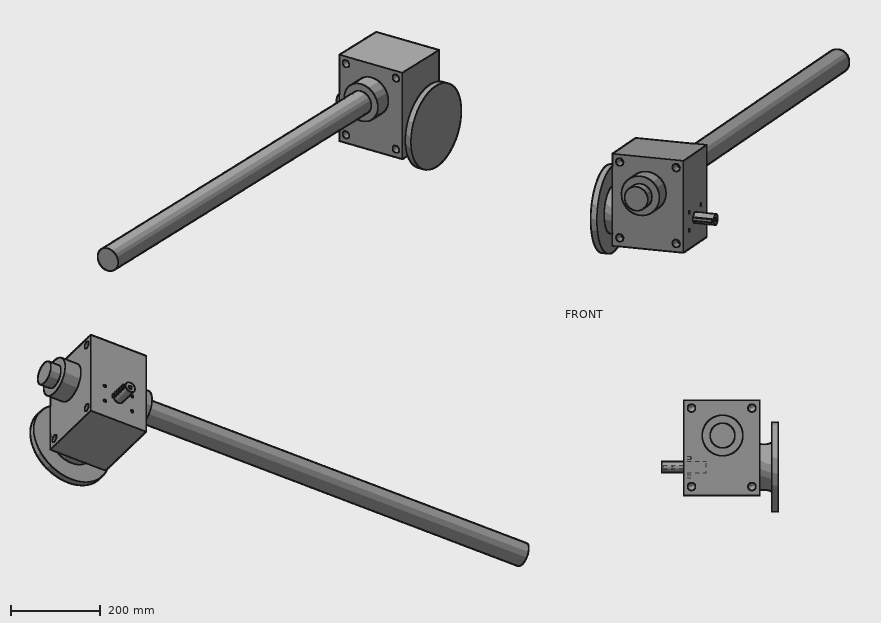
import cadquery as cq
import math


flange_diameter = 200.0
flange_thickness = 15.0
hub_foot_diameter = 104.0
hub_length = 26.0
hub_waist_diameter = 102.0
hub_plate_diameter = 109.0

overall_height = 248.0
housing_length = 170.0
housing_width = 145.0
housing_top = overall_height - flange_diameter / 2
housing_height = 212.0
collar_diameter = 90.0
collar_length = 41.0

corner_hole_diameter = 18.0
corner_hole_depth = 31.0
corner_spacing_x = 134.0
corner_spacing_z = 175.0
corner_hole_top_margin = 18.0

cover_hole_diameter = 6.7
cover_hole_depth = 15.0
cover_circle_radius = 41.0
cover_hole_angles = (30, 150, 210, 330)

drill_point_angle = 118

screw_diameter = 55.0
screw_length = 1255
screw_back_overhang = 26.0
screw_height = 70.0
screw_offset = 1.9

shaft_diameter = 25
shaft_overhang = 49.0
shaft_insertion = 49.0
centre_hole_diameter = 8.4
centre_hole_depth = 23.0
key_width = 8.0
key_projection = 4.0
key_end_gap = 4.0

housing_left = -housing_length / 2
housing_right = housing_length / 2
housing_middle_z = housing_top - housing_height / 2
collar_end = housing_width / 2 + collar_length
screw_back = collar_end + screw_back_overhang
shaft_end = housing_left - shaft_overhang


def cylinder(start, direction, diameter, length):
    """Solid cylinder from a start point along a direction."""
    solid = cq.Solid.makeCylinder(diameter / 2, length, cq.Vector(start), cq.Vector(direction))
    return cq.Workplane(solid)


def drilled_hole(mouth, direction, diameter, depth):
    """Cutter for a blind hole with a conical drill point."""
    point_length = diameter / 2 / math.tan(math.radians(drill_point_angle / 2))
    tip_base = cq.Vector(mouth) + cq.Vector(direction) * depth
    tip = cq.Solid.makeCone(diameter / 2, 0, point_length, tip_base, cq.Vector(direction))
    return cylinder(mouth, direction, diameter, depth).union(cq.Workplane(tip))


def make_screw():
    """Plain round screw running through both collars."""
    return cylinder((screw_offset, screw_back, screw_height), (0, -1, 0), screw_diameter, screw_length)


def make_shaft():
    """Input shaft with a key on its +Y side and a drilled end."""
    shaft = cylinder((shaft_end, 0, 0), (1, 0, 0), shaft_diameter, shaft_overhang + shaft_insertion)
    key_length = shaft_overhang - key_end_gap
    key_top = shaft_diameter / 2 + key_projection
    key = cq.Workplane("XY").box(key_length, key_top, key_width, centered=(False, False, True))
    shaft = shaft.union(key.translate((shaft_end + key_end_gap, 0, 0)))
    return shaft.cut(drilled_hole((shaft_end, 0, 0), (1, 0, 0), centre_hole_diameter, centre_hole_depth))


def make_flange():
    """Round plate on a hub whose side is hollowed by a shallow arc."""
    plate_face = housing_right + hub_length
    hub_middle = housing_right + hub_length / 2
    profile = (
        cq.Workplane("XY")
        .moveTo(housing_right, 0)
        .lineTo(housing_right, hub_foot_diameter / 2)
        .threePointArc((hub_middle, hub_waist_diameter / 2), (plate_face, hub_plate_diameter / 2))
        .lineTo(plate_face, flange_diameter / 2)
        .lineTo(plate_face + flange_thickness, flange_diameter / 2)
        .lineTo(plate_face + flange_thickness, 0)
        .close()
    )
    return profile.revolve(360, (0, 0, 0), (1, 0, 0))


def cut_corner_holes(housing):
    """Blind holes near the corners of the front and back faces."""
    upper_row = housing_top - corner_hole_top_margin
    for side in (-1, 1):
        for x in (-corner_spacing_x / 2, corner_spacing_x / 2):
            for z in (upper_row, upper_row - corner_spacing_z):
                mouth = (x, side * housing_width / 2, z)
                hole = drilled_hole(mouth, (0, -side, 0), corner_hole_diameter, corner_hole_depth)
                housing = housing.cut(hole)
    return housing


def cut_cover_holes(housing):
    """Small blind holes on a circle around the input shaft."""
    for angle in cover_hole_angles:
        y = cover_circle_radius * math.cos(math.radians(angle))
        z = cover_circle_radius * math.sin(math.radians(angle))
        mouth = (housing_left, y, z)
        housing = housing.cut(drilled_hole(mouth, (1, 0, 0), cover_hole_diameter, cover_hole_depth))
    return housing


def make_housing(screw, shaft):
    """Box with a collar on each side, bored for the screw and the input shaft."""
    housing = cq.Workplane("XY").box(housing_length, housing_width, housing_height)
    housing = housing.translate((0, 0, housing_middle_z))
    collars = cylinder((screw_offset, collar_end, screw_height), (0, -1, 0), collar_diameter, 2 * collar_end)
    housing = housing.union(collars)
    return cut_cover_holes(cut_corner_holes(housing)).cut(screw).cut(shaft)


screw = make_screw()
shaft = make_shaft()
flange = make_flange()
housing = make_housing(screw, shaft)
result = cq.Compound.makeCompound([housing.val(), screw.val(), shaft.val(), flange.val()])